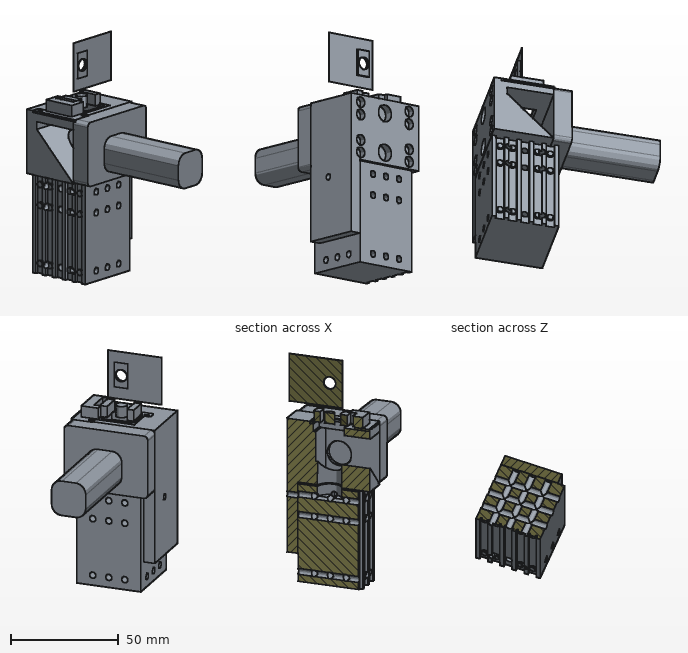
import cadquery as cq
bracket_x = 28.4
bracket_y = 41.8
bracket_bottom = 48.7
bracket_top = 79.5
bracket_mid_z = (bracket_bottom + bracket_top) / 2
leg_thickness = 5.6
leg_bottom = 13.7
leg_hole_diameter = 2.8
leg_hole_z = 42.3

bolt_diameter = 4.9
bolt_depth = 3.0
bolt_half_span_y = 14.9
bolt_half_spans_z = (6.0, 11.9)
dowel_diameter = 7.9
dowel_depth = 4.0
dowel_heights = (54.2, 72.9)

axis_x = 16.0
axis_y = 20.3
axis_z = 61.2
bore_diameter = 12.0

cavity_left = 6.1
cavity_top = 74.6
cavity_depth = 27.2

window_left = 10.1
window_right = 23.3
window_front = 13.0
window_back = 28.3
ledge_z = 74.8

cover_thickness = 1.0
cover_corner = 1.0
cover_front = 0.5
cover_back = 33.3
cover_step_back = 30.2
cover_tab_back = 10.9
cover_foot_back = 4.6
cover_foot_left = 3.3
cover_left = 8.1
cover_ear_right = 12.6
cover_right = 25.0
cover_tab_right = 29.1
cover_screws = ((11.1, 31.0), (26.5, 9.2), (6.0, 2.8))
cover_screw_diameter = 2.0
slot_left = 11.4
slot_right = 21.9
slot_front = 7.8
slot_back = 29.0

flange_x = 8.8
flange_corner = 2.0
flange_bore_depth = 2.0
tube_end_x = 82.3
tube_width = 17.0
tube_corner = 5.0

top_parts_height = 5.5
pin_diameter = 5.3
jaw_left = 11.1
jaw_right = 20.7
back_jaw_front = 24.8
back_jaw_back = 28.2
front_jaw_front = 11.2
front_jaw_back = 14.9
yoke_left = 8.8
yoke_right = 24.4
yoke_front = 3.5
yoke_back = 11.9
yoke_notch_left = 10.5
yoke_notch_right = 20.9
yoke_notch_front = 8.6

sheet_x = 16.6
sheet_thickness = 0.28
sheet_front = 13.8
sheet_back = 40.6
sheet_bottom = 88.0
sheet_top = 111.4
holder_thickness = 1.1
holder_width = 6.8
holder_bottom = 93.5
holder_top = 105.8
target_z = 99.5
target_diameter = 5.8

rail_width = 32.0
rail_height = 48.1
rail_back = bracket_y - leg_thickness
rail_front = rail_back - rail_width
rib_width = rail_width / 16
rib_count = 6
groove_width = 2 * rib_width
groove_depth = 1.5
rail_hole_diameter = 3.0
rail_hole_rows = (5.0, 33.0, 43.0)
rail_hole_pitch = rail_width / 4
peg_diameter = 2.9
peg_height = 1.0
peg_places = (2, 5, 11, 14)


def box(x0, x1, y0, y1, z0, z1):
    """Box between two corners."""
    return cq.Workplane("XY").box(x1 - x0, y1 - y0, z1 - z0, centered=False).translate((x0, y0, z0))


def rod_x(diameter, x0, length, y, z):
    """Cylinder along +X."""
    return cq.Workplane("YZ", origin=(x0, y, z)).circle(diameter / 2).extrude(length)


def rod_y(diameter, x, y0, length, z):
    """Cylinder along +Y."""
    return cq.Workplane("XZ", origin=(x, y0, z)).circle(diameter / 2).extrude(-length)


def rod_z(diameter, x, y, z0, length):
    """Cylinder along +Z."""
    return cq.Workplane("XY", origin=(x, y, z0)).circle(diameter / 2).extrude(length)


def cover_blank():
    """Solid cover outline, which is also the shape of its recess."""
    outline = [
        (cover_foot_left, cover_front),
        (cover_foot_left, cover_foot_back),
        (cover_left, cover_foot_back),
        (cover_left, cover_back),
        (cover_ear_right, cover_back),
        (cover_ear_right, cover_step_back),
        (cover_right, cover_step_back),
        (cover_right, cover_tab_back),
        (cover_tab_right, cover_tab_back),
        (cover_tab_right, cover_front),
    ]
    blank = (
        cq.Workplane("XY", origin=(0, 0, bracket_top - cover_thickness))
        .polyline(outline)
        .close()
        .extrude(cover_thickness)
    )
    front_corners = cq.selectors.BoxSelector(
        (cover_foot_left - 1.1, cover_front - 1.1, 0), (cover_tab_right + 1.1, cover_front + 1.1, sheet_top)
    )
    plain_corner = cq.selectors.BoxSelector(
        (cover_right - 1.1, cover_step_back - 1.1, 0), (cover_right + 1.1, cover_step_back + 1.1, sheet_top)
    )
    rounded = cq.selectors.SubtractSelector(
        cq.selectors.ParallelDirSelector(cq.Vector(0, 0, 1)),
        cq.selectors.SumSelector(front_corners, plain_corner),
    )
    return blank.edges(rounded).fillet(cover_corner)


def make_cover():
    cover = cover_blank()
    cover = cover.cut(box(window_left, window_right, window_front, window_back, 0, sheet_top))
    cover = cover.cut(box(slot_left, slot_right, slot_front, slot_back, 0, sheet_top))
    for x, y in cover_screws:
        cover = cover.cut(rod_z(cover_screw_diameter, x, y, 0, sheet_top))
    return cover


def mirror_cavity():
    """Front cavity whose floor falls at 45 degrees to the bottom right corner of the block."""
    floor_left_z = bracket_bottom + bracket_x - cavity_left
    outline = [
        (cavity_left, cavity_top),
        (cavity_left, floor_left_z),
        (bracket_x, bracket_bottom),
        (bracket_x, cavity_top),
    ]
    return cq.Workplane("XZ").polyline(outline).close().extrude(-cavity_depth)


def make_bracket():
    bracket = box(0, bracket_x, 0, bracket_y, bracket_bottom, bracket_top)
    leg = box(0, bracket_x, rail_back, bracket_y, leg_bottom, bracket_bottom)
    bracket = bracket.union(leg)
    bracket = bracket.cut(mirror_cavity()).cut(cover_blank())
    bracket = bracket.cut(box(window_left, window_right, window_front, window_back, ledge_z, bracket_top))
    bracket = bracket.cut(
        box(window_left, window_right, window_front, cavity_depth, cavity_top, ledge_z)
    )
    bracket = bracket.cut(rod_z(bore_diameter, axis_x, axis_y, bracket_bottom, cavity_top - bracket_bottom))
    bracket = bracket.cut(rod_y(leg_hole_diameter, axis_x, rail_back, leg_thickness, leg_hole_z))
    for side_y in (-1, 1):
        y = bracket_y / 2 + side_y * bolt_half_span_y
        for half_span in bolt_half_spans_z:
            for side_z in (-1, 1):
                z = bracket_mid_z + side_z * half_span
                bracket = bracket.cut(rod_x(bolt_diameter, 0, bolt_depth, y, z))
    for z in dowel_heights:
        bracket = bracket.cut(rod_x(dowel_diameter, 0, dowel_depth, bracket_y / 2, z))
    return bracket


def make_tube_housing():
    flange_end_x = bracket_x + flange_x
    flange = box(bracket_x, flange_end_x, 0, bracket_y, bracket_bottom, bracket_top)
    flange = flange.edges("|X").fillet(flange_corner)
    tube = (
        cq.Workplane("YZ", origin=(flange_end_x, axis_y, axis_z))
        .rect(tube_width, tube_width)
        .extrude(tube_end_x - flange_end_x)
        .edges("|X")
        .fillet(tube_corner)
    )
    bore = rod_x(bore_diameter, bracket_x, flange_bore_depth, axis_y, axis_z)
    return flange.union(tube).cut(bore).cut(cover_blank())


def make_pin():
    return rod_z(pin_diameter, axis_x, axis_y, bracket_top, top_parts_height)


def make_jaw(front, back):
    return box(jaw_left, jaw_right, front, back, bracket_top, bracket_top + top_parts_height)


def make_yoke():
    top = bracket_top + top_parts_height
    yoke = box(yoke_left, yoke_right, yoke_front, yoke_back, bracket_top, top)
    return yoke.cut(box(yoke_notch_left, yoke_notch_right, yoke_notch_front, yoke_back, bracket_top, top))


def target_hole():
    length = holder_thickness + sheet_thickness
    return rod_x(target_diameter, sheet_x - holder_thickness, length, axis_y, target_z)


def make_sheet():
    sheet = box(sheet_x, sheet_x + sheet_thickness, sheet_front, sheet_back, sheet_bottom, sheet_top)
    return sheet.cut(target_hole())


def make_holder():
    half = holder_width / 2
    holder = box(
        sheet_x - holder_thickness, sheet_x, axis_y - half, axis_y + half, holder_bottom, holder_top
    )
    return holder.cut(target_hole())


def make_rail_block():
    block = box(0, rail_width, rail_front, rail_back, 0, rail_height)
    floor_y = rail_front + groove_depth
    for i in range(rib_count - 1):
        left = rib_width + i * (groove_width + rib_width)
        block = block.cut(box(left, left + groove_width, rail_front, floor_y, 0, rail_height))
    for z in rail_hole_rows:
        for place in peg_places:
            peg = rod_y(peg_diameter, place * rib_width, floor_y - peg_height, peg_height, z)
            block = block.union(peg)
    mid_y = (rail_front + rail_back) / 2
    for z in rail_hole_rows:
        for i in (-1, 0, 1):
            offset = i * rail_hole_pitch
            block = block.cut(rod_x(rail_hole_diameter, 0, rail_width, mid_y + offset, z))
            block = block.cut(rod_y(rail_hole_diameter, rail_width / 2 + offset, rail_front, rail_width, z))
    socket_floor = rail_hole_rows[-1]
    return block.cut(rod_z(bore_diameter, axis_x, axis_y, socket_floor, rail_height - socket_floor))


bracket = make_bracket()
cover = make_cover()
tube_housing = make_tube_housing()
pin = make_pin()
back_jaw = make_jaw(back_jaw_front, back_jaw_back)
front_jaw = make_jaw(front_jaw_front, front_jaw_back)
yoke = make_yoke()
sheet = make_sheet()
holder = make_holder()
rail_block = make_rail_block()

result = cq.Compound.makeCompound(
    [
        bracket.val(),
        cover.val(),
        tube_housing.val(),
        pin.val(),
        back_jaw.val(),
        front_jaw.val(),
        yoke.val(),
        sheet.val(),
        holder.val(),
        rail_block.val(),
    ]
)